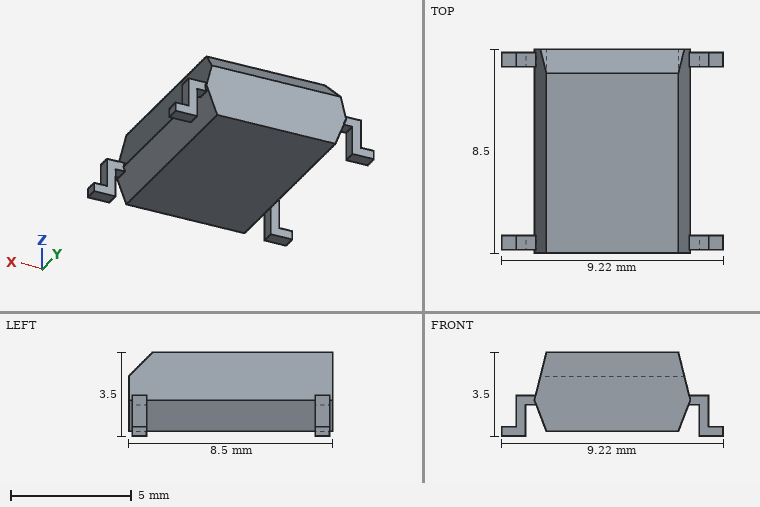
import cadquery as cq

overall_width = 9.22
body_length = 8.5
overall_height = 3.5

standoff = 0.2
waist_height = 1.5
waist_width = 6.5
face_width = 5.5
chamfer_size = 1.0

lead_width = 0.6
lead_thickness = 0.4
lead_pitch = 7.62
foot_length = 1.0
shoulder_top = waist_height + lead_thickness / 2
lead_embed = 0.5


def make_body():
    """Prism with drafted sides, bevelled along the top edge of its +Y end."""
    half_face = face_width / 2
    half_waist = waist_width / 2
    outline = [
        (-half_face, standoff),
        (half_face, standoff),
        (half_waist, waist_height),
        (half_face, overall_height),
        (-half_face, overall_height),
        (-half_waist, waist_height),
    ]
    body = cq.Workplane("XZ").polyline(outline).close().extrude(body_length / 2, both=True)

    end_y = body_length / 2
    bevel = (
        cq.Workplane("YZ")
        .moveTo(end_y, overall_height)
        .lineTo(end_y - chamfer_size, overall_height)
        .lineTo(end_y, overall_height - chamfer_size)
        .close()
        .extrude(waist_width, both=True)
    )
    return body.cut(bevel)


def make_lead(side, y_center):
    """Z-shaped lead; side is +1 for the +X side and -1 for the -X side."""
    foot_tip = overall_width / 2
    riser_inner = foot_tip - foot_length
    riser_outer = riser_inner + lead_thickness
    buried_end = waist_width / 2 - lead_embed
    outline = [
        (foot_tip, 0),
        (riser_inner, 0),
        (riser_inner, shoulder_top - lead_thickness),
        (buried_end, shoulder_top - lead_thickness),
        (buried_end, shoulder_top),
        (riser_outer, shoulder_top),
        (riser_outer, lead_thickness),
        (foot_tip, lead_thickness),
    ]
    return (
        cq.Workplane("XZ", origin=(0, y_center, 0))
        .polyline([(side * x, z) for x, z in outline])
        .close()
        .extrude(lead_width / 2, both=True)
    )


result = make_body()
for side in (-1, 1):
    for y_center in (-lead_pitch / 2, lead_pitch / 2):
        result = result.union(make_lead(side, y_center))